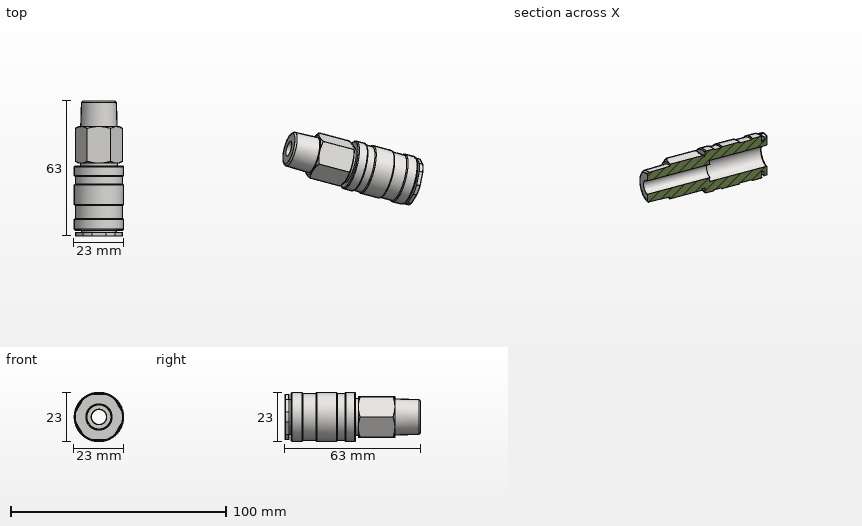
import cadquery as cq
import math


total_length = 63.0
flange_length = 1.75
front_neck_length = 1.0
sleeve_length = 30.0
hex_length = 17.0
thread_length = 12.0
sleeve_front = flange_length + front_neck_length
sleeve_rear = sleeve_front + sleeve_length
hex_rear = total_length - thread_length
hex_front = hex_rear - hex_length

flange_radius = 11.0
flange_across_flats = 21.0

sleeve_radius = 11.5
sleeve_step = 0.5
front_ridge_length = 5.5
middle_ridge_length = 10.0
rear_ridge_length = 5.0
front_groove_length = 6.0

front_neck_radius = 8.15
rear_neck_radius = 8.7

hex_across_flats = 19.0
hex_bevel_angle = 30.0

gauge_radius = 16.662 / 2
gauge_length = 6.35
thread_slope = 1 / 32
thread_chamfer = 0.8

socket_radius = 5.6
socket_chamfer = 0.5
socket_depth = 30.0
passage_radius = 3.5


def revolve_profile(points):
    """Revolve a closed (radius, y) outline about the Y axis."""
    return cq.Workplane("XY").polyline(points).close().revolve(360, (0, 0, 0), (0, 1, 0))


def cylinder(radius, y_start, y_end):
    return revolve_profile([(0, y_start), (radius, y_start), (radius, y_end), (0, y_end)])


def hexagon_corner_radius(across_flats):
    return across_flats / 2 / math.cos(math.pi / 6)


def hexagonal_prism(across_flats, y_start, y_end):
    """Hexagon with two flats facing +Z and -Z."""
    corner_diameter = 2 * hexagon_corner_radius(across_flats)
    plane = cq.Workplane("XZ", origin=(0, y_start, 0))
    return plane.polygon(6, corner_diameter).extrude(y_start - y_end)


def make_flange():
    disc = cylinder(flange_radius, 0, flange_length)
    return disc.intersect(hexagonal_prism(flange_across_flats, 0, flange_length))


def bevelled_ridge(y_start, length):
    y_end = y_start + length
    groove_radius = sleeve_radius - sleeve_step
    return revolve_profile([
        (0, y_start),
        (groove_radius, y_start),
        (sleeve_radius, y_start + sleeve_step),
        (sleeve_radius, y_end - sleeve_step),
        (groove_radius, y_end),
        (0, y_end),
    ])


def make_sleeve():
    sleeve = cylinder(sleeve_radius - sleeve_step, sleeve_front, sleeve_rear)
    ridges = [
        (sleeve_front, front_ridge_length),
        (sleeve_front + front_ridge_length + front_groove_length, middle_ridge_length),
        (sleeve_rear - rear_ridge_length, rear_ridge_length),
    ]
    for y_start, length in ridges:
        sleeve = sleeve.union(bevelled_ridge(y_start, length))
    return sleeve


def make_hex():
    face_radius = hex_across_flats / 2
    corner_radius = hexagon_corner_radius(hex_across_flats)
    bevel_length = (corner_radius - face_radius) * math.tan(math.radians(hex_bevel_angle))
    bevel_envelope = revolve_profile([
        (0, hex_front),
        (face_radius, hex_front),
        (corner_radius, hex_front + bevel_length),
        (corner_radius, hex_rear - bevel_length),
        (face_radius, hex_rear),
        (0, hex_rear),
    ])
    return hexagonal_prism(hex_across_flats, hex_front, hex_rear).intersect(bevel_envelope)


def make_thread():
    """Tapered plug that reaches the gauge radius at the gauge plane."""
    gauge_y = total_length - gauge_length
    root_radius = gauge_radius + (gauge_y - hex_rear) * thread_slope
    chamfer_y = total_length - thread_chamfer
    chamfer_radius = gauge_radius - (chamfer_y - gauge_y) * thread_slope
    return revolve_profile([
        (0, hex_rear),
        (root_radius, hex_rear),
        (chamfer_radius, chamfer_y),
        (chamfer_radius - thread_chamfer, total_length),
        (0, total_length),
    ])


def make_bore():
    return revolve_profile([
        (0, 0),
        (socket_radius + socket_chamfer, 0),
        (socket_radius, socket_chamfer),
        (socket_radius, socket_depth),
        (passage_radius, socket_depth),
        (passage_radius, total_length),
        (0, total_length),
    ])


body = make_flange()
body = body.union(cylinder(front_neck_radius, flange_length, sleeve_front))
body = body.union(make_sleeve())
body = body.union(cylinder(rear_neck_radius, sleeve_rear, hex_front))
body = body.union(make_hex())
body = body.union(make_thread())
result = body.cut(make_bore())